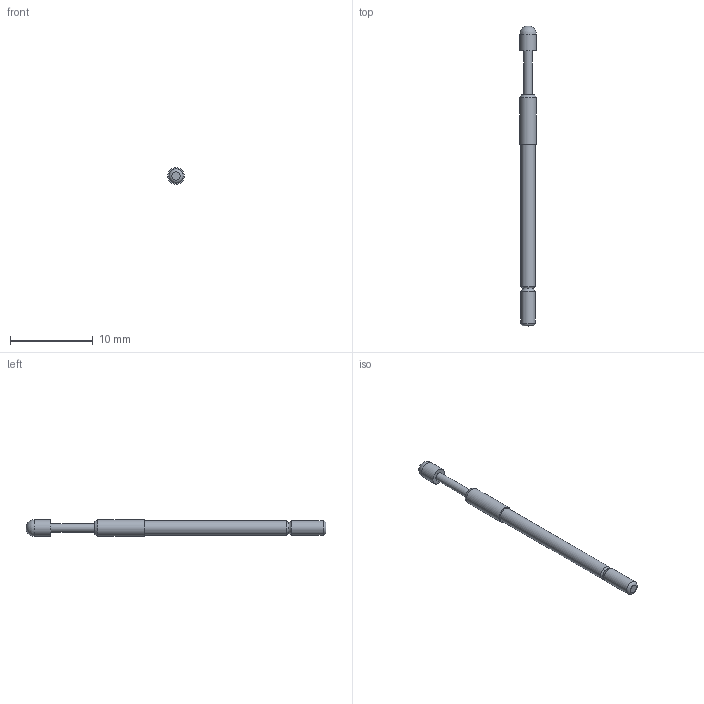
import cadquery as cq
import math


overall_length = 36.3
barrel_length = 22.0
collar_length = 6.0
head_length = 3.0

head_diameter = 2.0
stem_diameter = 1.0
collar_diameter = 2.0
barrel_diameter = 1.7
groove_diameter = 1.35

collar_taper_length = 0.4
collar_nose_diameter = 1.6
barrel_end_round = 0.35

groove_from_end = 4.2
groove_front_run = 0.2
groove_rear_run = 0.35

head_radius = head_diameter / 2
stem_radius = stem_diameter / 2
collar_radius = collar_diameter / 2
barrel_radius = barrel_diameter / 2
groove_radius = groove_diameter / 2
groove_depth = barrel_radius - groove_radius
collar_nose_radius = collar_nose_diameter / 2

barrel_end = -barrel_length
tip = overall_length - barrel_length
dome_base = tip - head_radius
head_back = tip - head_length
groove_rear = barrel_end + groove_from_end
groove_floor = groove_rear + groove_rear_run
groove_front = groove_floor + groove_front_run

diagonal = math.sqrt(0.5)


def make_plunger():
    """Stem with a cylindrical head that ends in a hemispherical tip."""
    profile = (
        cq.Workplane("XY")
        .moveTo(0, 0)
        .lineTo(stem_radius, 0)
        .lineTo(stem_radius, head_back)
        .lineTo(head_radius, head_back)
        .lineTo(head_radius, dome_base)
        .threePointArc(
            (head_radius * diagonal, dome_base + head_radius * diagonal),
            (0, tip),
        )
        .close()
    )
    return profile.revolve(360, (0, 0, 0), (0, 1, 0))


def make_collar():
    """Press-fit collar with a tapered front edge."""
    profile = (
        cq.Workplane("XY")
        .moveTo(0, 0)
        .lineTo(collar_radius, 0)
        .lineTo(collar_radius, collar_length - collar_taper_length)
        .lineTo(collar_nose_radius, collar_length)
        .lineTo(0, collar_length)
        .close()
    )
    return profile.revolve(360, (0, 0, 0), (0, 1, 0))


def make_barrel():
    """Barrel with a rounded rear edge."""
    return (
        cq.Workplane("XZ")
        .circle(barrel_radius)
        .extrude(barrel_length)
        .faces("<Y")
        .edges()
        .fillet(barrel_end_round)
    )


def arc_radius(run, depth):
    """Radius of an arc that leaves the groove floor tangentially and climbs depth over run."""
    return (run**2 + depth**2) / (2 * depth)


def make_groove():
    """Ring cutter: a short front arc and a longer rear arc, both tangent at the floor."""
    front_radius = arc_radius(groove_front_run, groove_depth)
    rear_radius = arc_radius(groove_rear_run, groove_depth)
    profile = (
        cq.Workplane("XY")
        .moveTo(barrel_radius, groove_front)
        .radiusArc((groove_radius, groove_floor), -front_radius)
        .radiusArc((barrel_radius, groove_rear), -rear_radius)
        .close()
    )
    return profile.revolve(360, (0, 0, 0), (0, 1, 0))


result = make_barrel().cut(make_groove()).union(make_collar()).union(make_plunger())